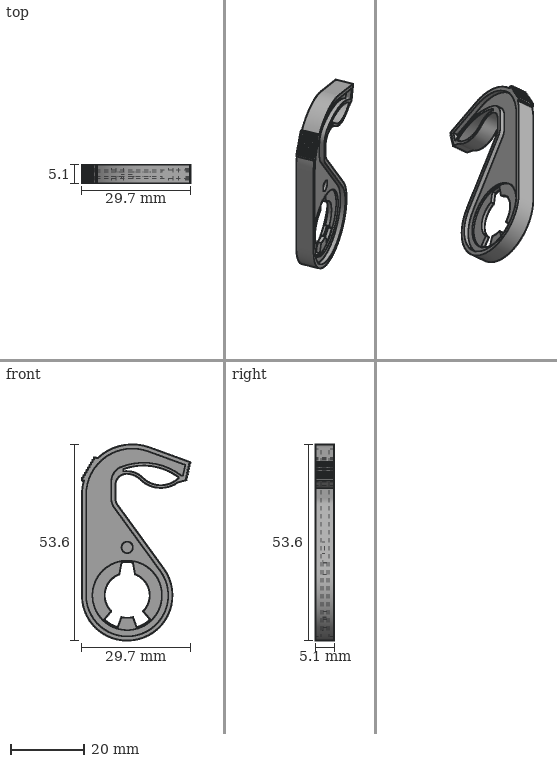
import cadquery as cq
import math

total_height = 53.6
thickness = 5.1
ring_radius = 12.4
rim_width = 1.2
recess_depth = 1.4
overshoot = 0.55

front = -thickness / 2
back = thickness / 2
recess_floor = front + recess_depth

counterbore_radius = 9.5
counterbore_depth = 0.6
bore_radius = 6.1
slot_radius = 9.05
top_slot_widths = (4.05, 3.0)
low_slot_widths = (3.2, 4.3)
low_slot_angle = 60

pin_radius = 1.55
pin_height = 13.1
pin_depth = 1.05

top_height = total_height - ring_radius
back_radius = 13.75
back_center = (back_radius - ring_radius, top_height - back_radius)
nose_slope = 20

neck_slant = 36
throat_x = -3.15
throat_low_radius = 2.95
throat_high_radius = 3.0
throat_top = 33.1
recess_throat_radius = 4.4

strip_thickness = 0.8
belly_radius = 7.8
belly_center = (9.15, 37.1)
belly_end_x = 13.7
hump_x = throat_x + throat_high_radius
hump_run = belly_center[0] - hump_x
hump_rise = belly_center[1] - throat_top
hump_radius = (hump_run ** 2 + hump_rise ** 2 - belly_radius ** 2) / (2 * (belly_radius - hump_rise))
hump_center = (hump_x, throat_top - hump_radius)

window_arc_radius = 16.1
window_arc_center = (4.45, 19.3)
window_left = -1.0
window_right = 14.0

tooth_pitch = 0.8
tooth_depth = 0.4
nose_end_x = 17.1
tip_top_peak = (17.3, 36.1)
tip_lean = 13
tip_teeth = 7
tip_wall = 1.3
tip_recess_fillet = 0.3
pad_top_peak = (-9.15, 37.6)
pad_lean = 30
pad_teeth = 9
pad_top_end = [(-7.7, 37.4), (-8.4, 37.4), (-8.6, 37.6)]
pad_low_end = [(-12.3, 31.35), (-12.0, 31.05)]


def polar(center, radius, degrees):
    """Point on a circle in the XZ plane."""
    angle = math.radians(degrees)
    return (center[0] + radius * math.cos(angle), center[1] + radius * math.sin(angle))


def circle_height(center, radius, x, side):
    """Height of a circle at x, on its upper (side 1) or lower (side -1) half."""
    return center[1] + side * math.sqrt(radius ** 2 - (x - center[0]) ** 2)


def arc(sketch, center, radius, start, end):
    """Continue the outline with an arc between two directions from its center."""
    return sketch.threePointArc(
        polar(center, radius, (start + end) / 2), polar(center, radius, end)
    )


def direction(start, end):
    """Angle in degrees, from X, of the line between two points."""
    return math.degrees(math.atan2(end[1] - start[1], end[0] - start[0]))


def prism(outline, y_front, y_back):
    """Extrude a closed XZ outline between two Y positions."""
    return outline.extrude(y_back - y_front).translate((0, y_back, 0))


def outline_at(point):
    """Start an XZ outline at a point."""
    return cq.Workplane("XZ").moveTo(*point)


def tooth_peaks(top_peak, lean, count):
    """Peaks running down a line that leans toward -X."""
    tilt = math.radians(lean)
    step = (-tooth_pitch * math.sin(tilt), -tooth_pitch * math.cos(tilt))
    return [(top_peak[0] + i * step[0], top_peak[1] + i * step[1]) for i in range(count)]


def zigzag(peaks, lean, inward):
    """Put a valley between neighbouring peaks; inward is +1 toward +X, -1 toward -X."""
    tilt = math.radians(lean)
    shift_x = inward * tooth_depth * math.cos(tilt)
    shift_z = -inward * tooth_depth * math.sin(tilt)
    points = [peaks[0]]
    for upper, lower in zip(peaks, peaks[1:]):
        points.append(((upper[0] + lower[0]) / 2 + shift_x, (upper[1] + lower[1]) / 2 + shift_z))
        points.append(lower)
    return points


def nose_line_height(x, inset):
    """Height of the sloping nose edge, moved inward by inset."""
    touch = polar(back_center, back_radius - inset, 90 - nose_slope)
    return touch[1] - (x - touch[0]) * math.tan(math.radians(nose_slope))


def neck_corner_center(x, inset, radius):
    """Center of the arc rounding the corner of the vertical x with the slanted neck edge."""
    normal = math.radians(neck_slant)
    center_x = x + radius
    reach = ring_radius - inset + radius
    return (center_x, (reach - center_x * math.cos(normal)) / math.sin(normal))


strip_heading = direction(hump_center, belly_center)


def body():
    """Solid plate with the outer outline of ring, neck, hook and spring strip."""
    low_center = neck_corner_center(throat_x, 0, throat_low_radius)
    high_center = (hump_x, throat_top - throat_high_radius)
    tip_peaks = tooth_peaks(tip_top_peak, tip_lean, tip_teeth)
    belly_end = (belly_end_x, circle_height(belly_center, belly_radius, belly_end_x, -1))

    sketch = outline_at((-ring_radius, 0)).lineTo(-ring_radius, back_center[1])
    sketch = arc(sketch, back_center, back_radius, 180, 90 - nose_slope)
    sketch = sketch.lineTo(nose_end_x, nose_line_height(nose_end_x, 0))
    for point in zigzag(tip_peaks, tip_lean, -1):
        sketch = sketch.lineTo(*point)
    sketch = sketch.lineTo(*belly_end)
    sketch = arc(sketch, belly_center, belly_radius,
                 direction(belly_center, belly_end), strip_heading - 180)
    sketch = arc(sketch, hump_center, hump_radius, strip_heading, 90)
    sketch = arc(sketch, high_center, throat_high_radius, 90, 180)
    sketch = sketch.lineTo(throat_x, low_center[1])
    sketch = arc(sketch, low_center, throat_low_radius, 180, 180 + neck_slant)
    sketch = sketch.lineTo(*polar((0, 0), ring_radius, neck_slant))
    sketch = arc(sketch, (0, 0), ring_radius, neck_slant, -180).close()
    return prism(sketch, front, back)


def thumb_pad():
    """Serrated pad on the back of the hook."""
    peaks = tooth_peaks(pad_top_peak, pad_lean, pad_teeth)
    outline = pad_top_end + zigzag(peaks, pad_lean, 1) + pad_low_end
    return prism(cq.Workplane("XZ").polyline(outline).close(), front, back)


def window():
    """Opening between the spring strip and the nose."""
    hump = hump_radius + strip_thickness
    belly = belly_radius - strip_thickness
    upper_left = (window_left, circle_height(window_arc_center, window_arc_radius, window_left, 1))
    upper_right = (window_right, circle_height(window_arc_center, window_arc_radius, window_right, 1))
    lower_left = (window_left, circle_height(hump_center, hump, window_left, 1))
    lower_right = (window_right, circle_height(belly_center, belly, window_right, -1))

    sketch = outline_at(upper_left)
    sketch = arc(sketch, window_arc_center, window_arc_radius,
                 direction(window_arc_center, upper_left), direction(window_arc_center, upper_right))
    sketch = sketch.lineTo(*lower_right)
    sketch = arc(sketch, belly_center, belly,
                 direction(belly_center, lower_right), strip_heading - 180)
    sketch = arc(sketch, hump_center, hump, strip_heading, direction(hump_center, lower_left)).close()
    return prism(sketch, front - overshoot, back + overshoot)


def face_recess():
    """Recess in the front face, leaving an even rim along the outline."""
    left = -ring_radius + rim_width
    throat = throat_x - rim_width
    low_radius = throat_low_radius + rim_width
    low_center = neck_corner_center(throat, rim_width, low_radius)
    nose_radius = window_arc_radius + strip_thickness

    throat_center_x = throat + recess_throat_radius
    throat_center = (throat_center_x, circle_height(
        window_arc_center, nose_radius - recess_throat_radius, throat_center_x, 1))
    touch = direction(window_arc_center, throat_center)

    tilt = math.radians(tip_lean)
    edge_x = tip_top_peak[0] - tip_wall / math.cos(tilt)
    slope = math.tan(math.radians(nose_slope))
    drop = (tip_top_peak[1] - nose_line_height(edge_x, rim_width)) / (1 + slope * math.tan(tilt))
    tip_top = (edge_x - drop * math.tan(tilt), tip_top_peak[1] - drop)

    along = (-math.sin(tilt), -math.cos(tilt))
    offset = (tip_top[0] - window_arc_center[0], tip_top[1] - window_arc_center[1])
    toward = offset[0] * along[0] + offset[1] * along[1]
    excess = offset[0] ** 2 + offset[1] ** 2 - nose_radius ** 2
    run = -toward - math.sqrt(toward ** 2 - excess)
    tip_low = (tip_top[0] + run * along[0], tip_top[1] + run * along[1])

    sketch = outline_at((left, 0)).lineTo(left, back_center[1])
    sketch = arc(sketch, back_center, back_radius - rim_width, 180, 90 - nose_slope)
    sketch = sketch.lineTo(*tip_top).lineTo(*tip_low)
    sketch = arc(sketch, window_arc_center, nose_radius,
                 direction(window_arc_center, tip_low), touch)
    sketch = arc(sketch, throat_center, recess_throat_radius, touch, 180)
    sketch = sketch.lineTo(throat, low_center[1])
    sketch = arc(sketch, low_center, low_radius, 180, 180 + neck_slant)
    sketch = sketch.lineTo(*polar((0, 0), -left, neck_slant))
    sketch = arc(sketch, (0, 0), -left, neck_slant, -180).close()
    recess = prism(sketch, front - overshoot, recess_floor)
    tip_corner = cq.selectors.NearestToPointSelector((tip_low[0], front, tip_low[1]))
    return recess.edges("|Y").edges(tip_corner).fillet(tip_recess_fillet)


def disc(radius, y_front, y_back, height=0):
    """Cylinder along Y, centered at a height above the ring axis."""
    return prism(outline_at((0, height)).circle(radius), y_front, y_back)


def bayonet_slot(widths, angle):
    """Tapered slot from the ring axis out to the slot radius, centered on an angle from X."""
    inner, outer = widths
    taper = (outer - inner) / (slot_radius - bore_radius)
    start = bore_radius / 2
    end = slot_radius + overshoot
    start_half = (inner + taper * (start - bore_radius)) / 2
    end_half = (outer + taper * overshoot) / 2
    outline = [(start, -start_half), (end, -end_half), (end, end_half), (start, start_half)]
    slot = prism(cq.Workplane("XZ").polyline(outline).close(), front - overshoot, back + overshoot)
    slot = slot.rotate((0, 0, 0), (0, 1, 0), -angle)
    return slot.intersect(disc(slot_radius, front - overshoot, back + overshoot))


result = body().union(thumb_pad()).cut(window())

face_tool = face_recess().union(disc(counterbore_radius, front, recess_floor + counterbore_depth))
result = result.cut(face_tool).cut(face_tool.mirror("XZ"))

result = result.cut(disc(bore_radius, front - overshoot, back + overshoot))
result = result.cut(bayonet_slot(top_slot_widths, 90))
for low_angle in (-low_slot_angle, low_slot_angle - 180):
    result = result.cut(bayonet_slot(low_slot_widths, low_angle))

result = result.cut(disc(pin_radius, front, recess_floor + pin_depth, pin_height))